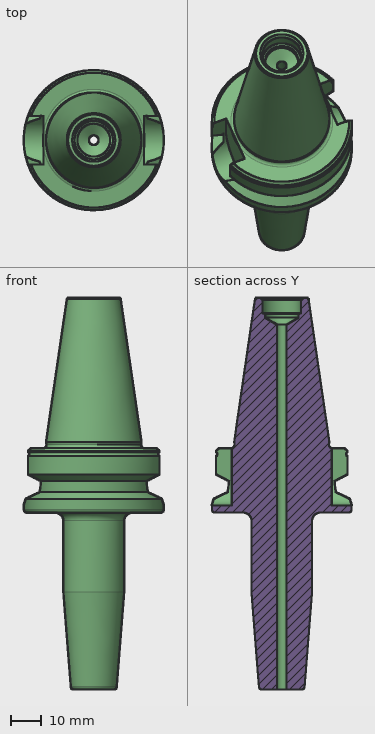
import cadquery as cq
import math

total_height = 128.4
flange_radius = 23.0

gauge_diameter = 31.7
gauge_radius = gauge_diameter / 2
taper_slope = 7 / 48
taper_bottom_z = 81.1
gauge_z = 80.0
taper_top_chamfer = 0.4

relief_radius = 15.5
relief_fillet = 1.2

flange_top_z = 79.1
flange_bottom_z = 57.9
flange_top_chamfer = 0.9
flange_bottom_fillet = 1.2
rim_groove_top_z = 77.8
rim_groove_width = 1.3
rim_groove_depth = 0.4

v_groove_radius = 19.1
v_groove_top_z = 70.5
v_floor_top_z = 68.3
v_floor_bottom_z = 64.7
v_groove_bottom_z = 62.5

neck_radius = 10.0
neck_fillet = 2.6
nose_taper_top_z = 32.0
nose_tip_radius = 7.6
nose_tip_fillet = 1.0

slot_half_width = 8.0
slot_floor_x = 16.4
slot_bottom_z = 60.5

mouth_radius = 7.0
mouth_chamfer = 0.8
counterbore_radius = mouth_radius - mouth_chamfer
counterbore_depth = 5.0
step_length = 0.3
drill_radius = 5.4
drill_depth = 6.5
drill_point_angle = 120.0
coolant_radius = 1.5


def taper_radius(z):
    return gauge_radius - taper_slope * (z - gauge_z)


def fillet_mid(center_r, center_z, radius, angle):
    """Point on a profile fillet at the given angle in degrees."""
    a = math.radians(angle)
    return (center_r + radius * math.cos(a), center_z + radius * math.sin(a))


def make_body():
    """Revolve the outer half profile, drawn as radius against height."""
    tip_r = nose_tip_radius - nose_tip_fillet
    neck_blend_r = neck_radius + neck_fillet
    neck_blend_z = flange_bottom_z - neck_fillet
    rim_r = flange_radius - flange_bottom_fillet
    rim_z = flange_bottom_z + flange_bottom_fillet
    rim_groove_r = flange_radius - rim_groove_depth
    rim_groove_bottom_z = rim_groove_top_z - rim_groove_width
    rim_groove_mid_z = rim_groove_top_z - rim_groove_width / 2
    relief_r = relief_radius + relief_fillet
    relief_z = flange_top_z + relief_fillet
    profile = (
        cq.Workplane("XZ")
        .moveTo(0, 0)
        .lineTo(tip_r, 0)
        .threePointArc(fillet_mid(tip_r, nose_tip_fillet, nose_tip_fillet, -45),
                       (nose_tip_radius, nose_tip_fillet))
        .lineTo(neck_radius, nose_taper_top_z)
        .lineTo(neck_radius, neck_blend_z)
        .threePointArc(fillet_mid(neck_blend_r, neck_blend_z, neck_fillet, 135),
                       (neck_blend_r, flange_bottom_z))
        .lineTo(rim_r, flange_bottom_z)
        .threePointArc(fillet_mid(rim_r, rim_z, flange_bottom_fillet, -45), (flange_radius, rim_z))
        .lineTo(flange_radius, v_groove_bottom_z)
        .lineTo(v_groove_radius, v_floor_bottom_z)
        .lineTo(v_groove_radius, v_floor_top_z)
        .lineTo(flange_radius, v_groove_top_z)
        .lineTo(flange_radius, rim_groove_bottom_z)
        .threePointArc((rim_groove_r, rim_groove_mid_z), (flange_radius, rim_groove_top_z))
        .lineTo(flange_radius, flange_top_z - flange_top_chamfer)
        .lineTo(flange_radius - flange_top_chamfer, flange_top_z)
        .lineTo(relief_r, flange_top_z)
        .threePointArc(fillet_mid(relief_r, relief_z, relief_fillet, 225), (relief_radius, relief_z))
        .lineTo(taper_radius(taper_bottom_z), taper_bottom_z)
        .lineTo(taper_radius(total_height - taper_top_chamfer), total_height - taper_top_chamfer)
        .lineTo(taper_radius(total_height) - taper_top_chamfer, total_height)
        .lineTo(0, total_height)
        .close()
    )
    return profile.revolve(360, (0, 0, 0), (0, 1, 0))


def make_bore():
    """Chamfered counterbore, drilled hole with a conical bottom, and a coolant hole right through."""
    step_z = total_height - counterbore_depth
    drill_z = total_height - drill_depth
    point_length = (drill_radius - coolant_radius) / math.tan(math.radians(drill_point_angle / 2))
    profile = (
        cq.Workplane("XZ")
        .moveTo(0, 0)
        .lineTo(coolant_radius, 0)
        .lineTo(coolant_radius, drill_z - point_length)
        .lineTo(drill_radius, drill_z)
        .lineTo(drill_radius, step_z - step_length)
        .lineTo(counterbore_radius, step_z)
        .lineTo(counterbore_radius, total_height - mouth_chamfer)
        .lineTo(mouth_radius, total_height)
        .lineTo(0, total_height)
        .close()
    )
    return profile.revolve(360, (0, 0, 0), (0, 1, 0))


def make_drive_slot(side):
    """Round-bottomed slot, open at the flange top, on the +X (1) or -X (-1) side."""
    arc_z = slot_bottom_z + slot_half_width
    return (
        cq.Workplane("YZ", origin=(side * slot_floor_x, 0, 0))
        .moveTo(-slot_half_width, flange_top_z)
        .lineTo(-slot_half_width, arc_z)
        .threePointArc((0, slot_bottom_z), (slot_half_width, arc_z))
        .lineTo(slot_half_width, flange_top_z)
        .close()
        .extrude(side * flange_radius)
    )


result = make_body().cut(make_bore())
for slot_side in (-1, 1):
    result = result.cut(make_drive_slot(slot_side))